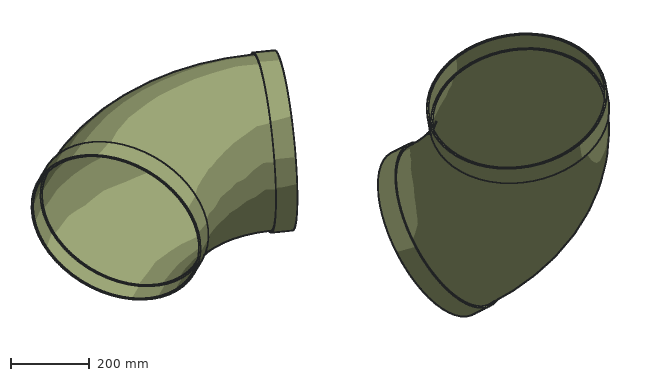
import cadquery as cq
import math

pipe_outer_diameter = 450.0
wall = 5.0
bend_radius = 450.0
bend_angle = 60.0
collar_length = 55.0
socket_depth = 50.0

pipe_inner_diameter = pipe_outer_diameter - 2 * wall
socket_diameter = pipe_outer_diameter
collar_diameter = socket_diameter + 2 * wall

bend_start = (0, collar_length, 0)
angle = math.radians(bend_angle)
exit_direction = (math.sin(angle), math.cos(angle), 0)
bend_end = (
    bend_radius * (1 - math.cos(angle)),
    collar_length + bend_radius * math.sin(angle),
    0,
)
exit_mouth = tuple(p + collar_length * d for p, d in zip(bend_end, exit_direction))

entry_inward = (0, 1, 0)
exit_inward = tuple(-d for d in exit_direction)


def cylinder(mouth, inward, diameter, length):
    """Solid cylinder reaching from a mouth centre into the elbow."""
    return cq.Workplane(cq.Plane(origin=mouth, normal=inward)).circle(diameter / 2).extrude(length)


def bend(diameter):
    """Solid torus segment following the bend centreline."""
    section = cq.Workplane(cq.Plane(origin=bend_start, xDir=(1, 0, 0), normal=(0, -1, 0)))
    return section.circle(diameter / 2).revolve(bend_angle, (bend_radius, 1, 0), (bend_radius, 0, 0))


mouths = [((0, 0, 0), entry_inward), (exit_mouth, exit_inward)]

result = bend(pipe_outer_diameter)
for mouth, inward in mouths:
    result = result.union(cylinder(mouth, inward, collar_diameter, collar_length))

result = result.cut(bend(pipe_inner_diameter))
for mouth, inward in mouths:
    result = result.cut(cylinder(mouth, inward, pipe_inner_diameter, collar_length))
    result = result.cut(cylinder(mouth, inward, socket_diameter, socket_depth))